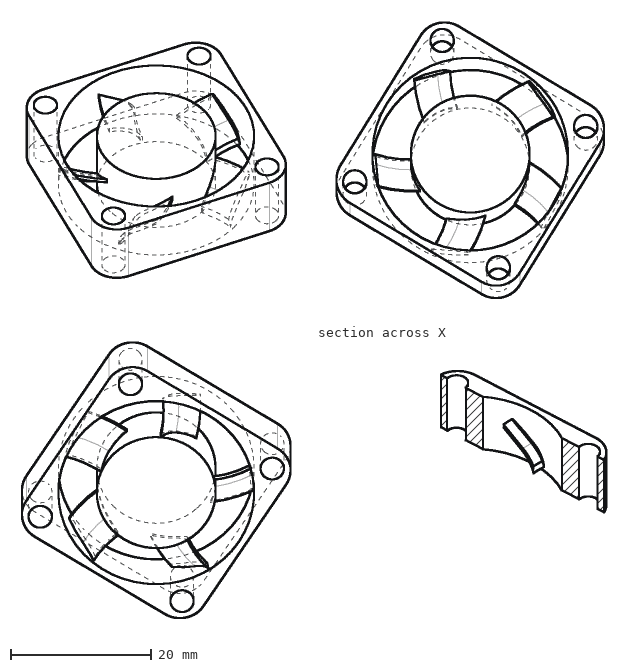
import cadquery as cq
import math

side = 30.0
height = 10.0
corner_radius = 4.0
bore_radius = 13.98
hole_spacing = 24.0
hole_diameter = 3.33

hub_radius = 8.5
blade_count = 5
first_blade_angle = 180.0
blade_thickness = 0.5
tip_radius = 13.4
bevel_depth_per_length = 1.0
cutter_clearance = 0.3
wall_overlap = 0.15

sweep_axis_radial = 7.8
sweep_axis_offset = 15.6
sweep_angle = 45.0
sweep_start = -35.0
high_edge_radius = 19.6
high_edge_z = 7.0
flat_run = 3.55
flat_slope = math.radians(36)
low_edge_radius = 14.07
bend_radius = 6.6

rake = math.radians(10)
rake_pivot_z = 4.5

bend_start_radius = high_edge_radius - flat_run
bend_start_z = high_edge_z - flat_run * math.tan(flat_slope)
bend_centre_radius = bend_start_radius + bend_radius * math.sin(flat_slope)
bend_centre_z = bend_start_z - bend_radius * math.cos(flat_slope)


def surface_points(depth, extension=0):
    """High edge, bend start, mid-bend and low edge of the strip at a depth below its top.

    Both edges stand at fixed distances from the sweep axis; an extension widens the high side.
    """
    high_edge = (
        high_edge_radius + extension,
        high_edge_z + extension * math.tan(flat_slope) - depth / math.cos(flat_slope),
    )
    radius = bend_radius - depth
    end_slope = math.asin((bend_centre_radius - low_edge_radius) / radius)
    slopes = (flat_slope, (flat_slope + end_slope) / 2, end_slope)
    bend = [
        (bend_centre_radius - radius * math.sin(slope), bend_centre_z + radius * math.cos(slope))
        for slope in slopes
    ]
    return [high_edge] + bend


def make_strip():
    """Bent strip revolved about the sweep axis; local X is radial, local Y tangential."""
    high, bend_start, bend_mid, low = surface_points(0)
    under_high, under_start, under_mid, under_low = surface_points(blade_thickness)
    return (
        cq.Workplane("YZ")
        .moveTo(*high)
        .lineTo(*bend_start)
        .threePointArc(bend_mid, low)
        .lineTo(*under_low)
        .threePointArc(under_mid, under_start)
        .lineTo(*under_high)
        .close()
        .revolve(sweep_angle, (0, 0, 0), (0, 1, 0))
    )


def point_at_tip(point, radial):
    """Tangential and vertical place where a sweep of the raked strip crosses a radial distance."""
    distance, z = point
    rise = z - rake_pivot_z
    travel = (radial - tip_radius + rise * math.sin(rake)) / math.cos(rake)
    reach = tip_radius - sweep_axis_radial + travel
    tangential = math.sqrt(distance**2 - reach**2) - sweep_axis_offset
    return (tangential, rake_pivot_z + travel * math.sin(rake) + rise * math.cos(rake))


def tip_outline(radial, depth):
    """Region above the strip at a radial distance, bounded below by the surface at a depth."""
    high, bend_start, bend_mid, low = [
        point_at_tip(point, radial) for point in surface_points(depth, cutter_clearance)
    ]
    low_clear = low[0] - cutter_clearance
    return (
        cq.Workplane("YZ", origin=(radial, 0, 0))
        .moveTo(*high)
        .lineTo(*bend_start)
        .threePointArc(bend_mid, low)
        .lineTo(low_clear, low[1])
        .lineTo(low_clear, height)
        .lineTo(high[0], height)
        .close()
        .wire()
        .val()
    )


def make_tip_cutter():
    """Space above the blade that deepens outward, leaving a bevelled blade end."""
    length = bore_radius + wall_overlap - tip_radius
    outlines = [
        tip_outline(tip_radius, 0),
        tip_outline(tip_radius + length, length * bevel_depth_per_length),
    ]
    return cq.Workplane(cq.Solid.makeLoft(outlines, True))


def make_blade():
    """One blade pointing along +X, running from inside the hub into the housing wall."""
    rake_pivot = (tip_radius, 0, rake_pivot_z)
    rake_pivot_end = (tip_radius, 1, rake_pivot_z)
    strip = (
        make_strip()
        .rotate((0, 0, 0), (0, 0, 1), sweep_start)
        .translate((sweep_axis_radial, -sweep_axis_offset, 0))
        .rotate(rake_pivot, rake_pivot_end, -math.degrees(rake))
    )
    envelope = cq.Workplane("XY").circle(bore_radius + wall_overlap).extrude(height)
    return strip.intersect(envelope).cut(make_tip_cutter())


housing = (
    cq.Workplane("XY")
    .rect(side, side)
    .extrude(height)
    .edges("|Z")
    .fillet(corner_radius)
    .cut(cq.Workplane("XY").circle(bore_radius).extrude(height))
    .faces(">Z")
    .workplane()
    .rect(hole_spacing, hole_spacing, forConstruction=True)
    .vertices()
    .hole(hole_diameter)
)
hub = cq.Workplane("XY").circle(hub_radius).extrude(height)

result = housing.union(hub)
blade = make_blade()
for index in range(blade_count):
    angle = first_blade_angle + index * 360 / blade_count
    result = result.union(blade.rotate((0, 0, 0), (0, 0, 1), angle))